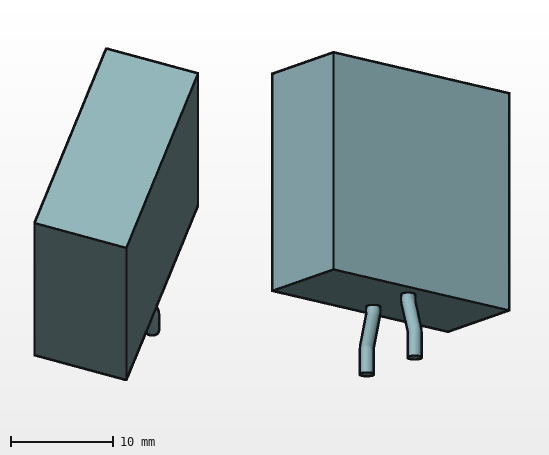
import cadquery as cq
import math

body_thickness = 9.5
body_side = 22.2
total_height = 28.85

wire_diameter = 1.39
bend_radius = 1.39
upper_spacing = 5.4
lower_spacing = 7.42
upper_straight_length = 0.5
lower_straight_length = 2.5

lead_length = total_height - body_side
jog_drop = lead_length - upper_straight_length - lower_straight_length
jog_offset = (lower_spacing - upper_spacing) / 2

bend_diameter = 2 * bend_radius
slant_length = math.sqrt(jog_drop**2 + jog_offset**2 - 2 * bend_diameter * jog_offset)
bend_angle = math.atan2(bend_diameter, slant_length) - math.atan2(bend_diameter - jog_offset, jog_drop)


def bend_shift(angle):
    """Outward shift and drop of the centreline after turning by an angle."""
    return bend_radius * (1 - math.cos(angle)), bend_radius * math.sin(angle)


def make_body():
    return cq.Workplane("XY").box(body_thickness, body_side, body_side, centered=(True, True, False))


def make_lead(side):
    """Build one lead; side is -1 for the -X lead and 1 for the +X lead."""
    upper_x = upper_spacing / 2
    lower_x = lower_spacing / 2
    jog_top = -upper_straight_length
    jog_bottom = jog_top - jog_drop
    half_out, half_down = bend_shift(bend_angle / 2)
    full_out, full_down = bend_shift(bend_angle)

    path = (
        cq.Workplane("XZ")
        .moveTo(side * upper_x, 0)
        .lineTo(side * upper_x, jog_top)
        .threePointArc(
            (side * (upper_x + half_out), jog_top - half_down),
            (side * (upper_x + full_out), jog_top - full_down),
        )
        .lineTo(side * (lower_x - full_out), jog_bottom + full_down)
        .threePointArc(
            (side * (lower_x - half_out), jog_bottom + half_down),
            (side * lower_x, jog_bottom),
        )
        .lineTo(side * lower_x, -lead_length)
    )
    return cq.Workplane("XY").center(side * upper_x, 0).circle(wire_diameter / 2).sweep(path)


body = make_body()
leads = [make_lead(side) for side in (-1, 1)]

result = cq.Compound.makeCompound([body.val(), *[lead.val() for lead in leads]])